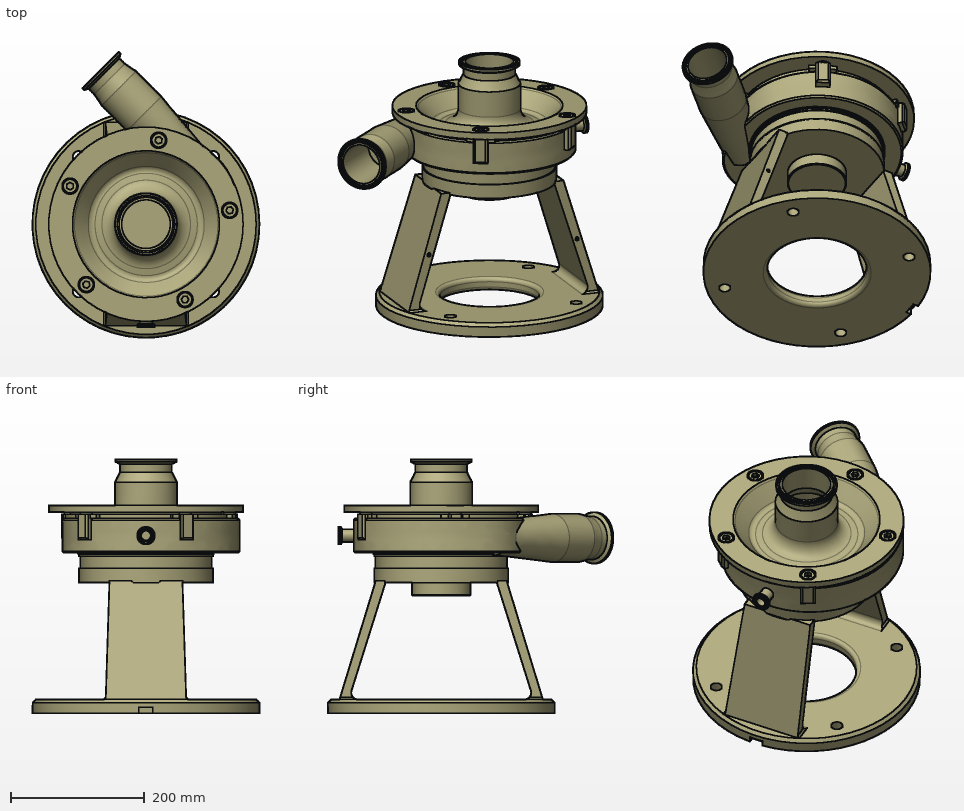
import cadquery as cq
import math


total_length = 428.0
total_height = 380.5

base_radius = 170.1
base_height = 21.0
base_chamfer = 5.0
base_bore_radius = 74.5
base_bore_fillet = 6.5
foot_hole_radius = 8.5
foot_hole_circle = 142.5
key_slot_width = 21.0
key_slot_height = 9.0
key_slot_depth = 8.5

leg_top = 199.0
leg_outer_top = 98.0
leg_outer_bottom = 152.5
leg_inner_top = 82.0
leg_inner_bottom = 138.2
leg_half_width_top = 54.8
leg_half_width_bottom = 60.5
leg_root_length = 13.5
leg_foot_flare = 3.0
leg_pin_radius = 2.5
leg_pin_depth = 6.5
leg_pin_height = 106.5
leg_pin_y = 118.5

support_radius = 100.5
support_neck_radius = 99.0
support_bottom = 196.0
support_step = 217.5
support_neck_top = 235.0
support_collar_radius = 102.0
support_collar_bottom = 238.5
hub_radius = 44.0
hub_bottom = 176.5
hub_chamfer = 1.3

volute_bottom = 240.5
volute_top = 292.0
volute_edge = 2.5
volute_start_angle = 95.0
volute_sweep = 305.0
volute_start_radius = 123.5
volute_growth = 22.3
volute_growth_power = 2.0
volute_spans = 12

cover_ring_radius = 120.5
cover_ring_top = 298.3
cover_core_radius = 113.5
plate_radius = 145.5
plate_bottom = 301.3
plate_top = 311.5

dish_rim_radius = 110.0
dish_rim_chamfer = 2.5
dish_cone_radius = 87.0
dish_cone_bottom = 286.0
dish_floor_radius = 76.5
dish_floor = 283.0
dish_fillet_radius = 66.5
dish_fillet_bottom = 284.5
dish_fillet_top = 307.2

bolt_count = 5
bolt_circle = 127.0
bolt_first_angle = 9.4
bolt_pocket_radius = 12.0
bolt_pocket_depth = 2.5
bolt_head_radius = 10.3
bolt_head_height = 2.0
bolt_socket_diameter = 11.0
bolt_socket_depth = 5.0
spacer_radius = 9.0
pad_radius = 21.5
pad_outer_radius = 129.5
finger_width = 21.5
finger_inner = 111.3
finger_outer = 137.0
finger_bottom = 260.0
finger_chamfer = 3.0

inlet_radius = 46.5
inlet_neck_radius = 39.0
inlet_flange_radius = 46.0
inlet_bore_radius = 36.5
inlet_bore_depth = 38.5
inlet_chamber_radius = 43.0
inlet_chamber_cone = 15.0
inlet_chamber_floor = 304.0
inlet_groove_radius = 40.2
inlet_neck_end = 19.3
inlet_cone_end = 34.2

outlet_offset = 115.0
outlet_height = 262.7
outlet_radius = 36.5
outlet_root_radius = 25.5
outlet_taper_length = 119.5
outlet_neck_radius = 32.5
outlet_flange_radius = 38.5
outlet_bore_radius = 30.0
outlet_groove_radius = 33.5
outlet_neck_end = 18.5
outlet_cone_end = 38.0

flange_thickness = 4.0
flange_taper = 3.5
groove_width = 2.5
groove_depth = 1.3

port_height = 266.0
port_tip = 154.0
port_root = 120.0
port_radius = 9.63
port_bore_radius = 7.3
port_bore_depth = 21.5
port_flange_radius = 13.3
port_groove_radius = 9.5
port_flange_thickness = 4.0
port_flange_taper = 2.0


def disc(radius, bottom, top):
    return cq.Workplane("XY").workplane(offset=bottom).circle(radius).extrude(top - bottom)


def turned(points):
    """Revolve an outline of (radius, height) points about the Z axis."""
    return cq.Workplane("XZ").polyline(points).close().revolve(360, (0, 0, 0), (0, 1, 0))


def flanged_pipe_end(face, radius, neck_radius, flange_radius, neck_end, cone_end, root):
    """Outline points of a pipe from its open face down to its root."""
    return [
        (0, face),
        (flange_radius, face),
        (flange_radius, face - flange_thickness),
        (neck_radius, face - flange_thickness - flange_taper),
        (neck_radius, face - neck_end),
        (radius, face - cone_end),
        (radius, root),
    ]


def gasket_groove(face, inner_radius):
    """Ring of material removed from a flange face."""
    floor = face - groove_depth
    return disc(inner_radius + groove_width, floor, face).cut(disc(inner_radius, floor, face))


def make_base():
    base = (
        disc(base_radius, 0, base_height)
        .faces(">Z")
        .chamfer(base_chamfer)
        .cut(disc(base_bore_radius, 0, base_height))
        .edges(cq.selectors.RadiusNthSelector(0))
        .fillet(base_bore_fillet)
    )
    foot_holes = (
        cq.Workplane("XY")
        .polarArray(foot_hole_circle, 45, 360, 4)
        .circle(foot_hole_radius)
        .extrude(base_height)
    )
    key_slot = cq.Workplane("XY").box(
        key_slot_width, 2 * key_slot_depth, key_slot_height, centered=(True, True, False)
    ).translate((0, -base_radius, 0))
    return base.cut(foot_holes).cut(key_slot)


def make_leg():
    """The leg on the -Y side: a sloping slab that narrows upward, with a flared root."""
    inner_lean = math.atan2(leg_inner_bottom - leg_inner_top, leg_top - base_height)
    root_top = base_height + leg_root_length * math.cos(inner_lean)
    root_top_y = leg_inner_bottom - leg_root_length * math.sin(inner_lean)
    foot_half_width = leg_half_width_bottom + leg_foot_flare
    slab = (
        cq.Workplane("YZ")
        .moveTo(-leg_outer_bottom, base_height)
        .lineTo(-leg_outer_top, leg_top)
        .lineTo(-leg_inner_top, leg_top)
        .lineTo(-root_top_y, root_top)
        .tangentArcPoint((leg_root_length - leg_inner_bottom, base_height), relative=False)
        .close()
        .extrude(foot_half_width, both=True)
    )
    taper = (
        cq.Workplane("XZ")
        .polyline([
            (-foot_half_width, base_height),
            (foot_half_width, base_height),
            (leg_half_width_bottom, base_height + leg_foot_flare),
            (leg_half_width_top, leg_top),
            (-leg_half_width_top, leg_top),
            (-leg_half_width_bottom, base_height + leg_foot_flare),
        ])
        .close()
        .extrude(base_radius)
    )
    mid_height = (leg_pin_height - base_height) / (leg_top - base_height)
    side = leg_half_width_bottom + mid_height * (leg_half_width_top - leg_half_width_bottom)
    pin_hole = (
        cq.Workplane("YZ", origin=(-side - leg_pin_depth, 0, 0))
        .center(-leg_pin_y, leg_pin_height)
        .circle(leg_pin_radius)
        .extrude(2 * leg_pin_depth)
    )
    return slab.intersect(taper).cut(pin_hole)


def make_support():
    hub = disc(hub_radius, hub_bottom, support_bottom).faces("<Z").chamfer(hub_chamfer)
    return (
        hub
        .union(disc(support_radius, support_bottom, support_step))
        .union(disc(support_neck_radius, support_step, support_neck_top))
        .union(disc(support_radius, support_neck_top, support_collar_bottom))
        .union(disc(support_collar_radius, support_collar_bottom, volute_bottom))
    )


def volute_point(t):
    """Point on the volute outline; t runs from 0 at the tongue to 1 at the outlet."""
    angle = math.radians(volute_start_angle + volute_sweep * t)
    radius = volute_start_radius + volute_growth * t ** volute_growth_power
    return (radius * math.cos(angle), radius * math.sin(angle))


def make_volute():
    closing_angle = math.radians(volute_start_angle + (volute_sweep - 360) / 2)
    closing_radius = volute_start_radius + volute_growth / 2
    closing_point = (
        closing_radius * math.cos(closing_angle),
        closing_radius * math.sin(closing_angle),
    )
    spiral = [volute_point(i / volute_spans) for i in range(volute_spans + 1)]
    return (
        cq.Workplane("XY", origin=(0, 0, volute_bottom))
        .spline(spiral + [closing_point], periodic=True)
        .close()
        .extrude(volute_top - volute_bottom)
        .faces(">Z or <Z")
        .chamfer(volute_edge)
    )


def make_cover():
    return (
        disc(cover_ring_radius, volute_top, cover_ring_top)
        .union(disc(cover_core_radius, cover_ring_top, plate_bottom))
        .union(disc(plate_radius, plate_bottom, plate_top))
    )


def make_dish():
    """Recess around the inlet: a cone, a rounded foot, a floor and a fillet up to the pipe."""
    return (
        cq.Workplane("XZ")
        .moveTo(inlet_radius, plate_top)
        .lineTo(dish_rim_radius, plate_top)
        .lineTo(dish_rim_radius - dish_rim_chamfer, plate_top - dish_rim_chamfer)
        .lineTo(dish_cone_radius, dish_cone_bottom)
        .tangentArcPoint((dish_floor_radius, dish_floor), relative=False)
        .lineTo(dish_fillet_radius, dish_fillet_bottom)
        .tangentArcPoint((inlet_radius, dish_fillet_top), relative=False)
        .close()
        .revolve(360, (0, 0, 0), (0, 1, 0))
    )


def at_bolts(feature):
    """Copies of a feature built at angle zero, one at each bolt."""
    copies = cq.Workplane("XY")
    for i in range(bolt_count):
        angle = bolt_first_angle + i * 360 / bolt_count
        copies = copies.add(feature.rotate((0, 0, 0), (0, 0, 1), angle))
    return copies.combine()


def make_clamp():
    finger = (
        cq.Workplane("XY")
        .box(
            finger_outer - finger_inner,
            finger_width,
            cover_ring_top - finger_bottom,
            centered=(False, True, False),
        )
        .translate((finger_inner, 0, finger_bottom))
        .edges("(>X and |Z) or (>X and <Z)")
        .chamfer(finger_chamfer)
    )
    pad = (
        disc(pad_radius, volute_top, cover_ring_top)
        .translate((bolt_circle, 0, 0))
        .intersect(disc(pad_outer_radius, volute_top, cover_ring_top))
    )
    spacer = disc(spacer_radius, cover_ring_top, plate_bottom).translate((bolt_circle, 0, 0))
    return finger.union(pad).union(spacer)


def make_bolt_pocket():
    """Material removed at a bolt: a ring around its head and the hexagon socket."""
    floor = plate_top - bolt_pocket_depth
    head_top = floor + bolt_head_height
    socket = (
        cq.Workplane("XY", origin=(0, 0, head_top - bolt_socket_depth))
        .polygon(6, bolt_socket_diameter)
        .extrude(bolt_socket_depth)
    )
    return (
        disc(bolt_pocket_radius, floor, plate_top)
        .cut(disc(bolt_head_radius, floor, head_top))
        .union(socket)
        .translate((bolt_circle, 0, 0))
    )


def make_inlet():
    """Inlet pipe and its bore, which widens into a chamber below the neck."""
    outline = flanged_pipe_end(
        total_height, inlet_radius, inlet_neck_radius, inlet_flange_radius,
        inlet_neck_end, inlet_cone_end, dish_floor,
    )
    bore_end = total_height - inlet_bore_depth
    bore = turned([
        (0, total_height),
        (inlet_bore_radius, total_height),
        (inlet_bore_radius, bore_end),
        (inlet_chamber_radius, bore_end - inlet_chamber_cone),
        (inlet_chamber_radius, inlet_chamber_floor),
        (0, inlet_chamber_floor),
    ])
    pipe = turned(outline + [(0, dish_floor)])
    return pipe.cut(gasket_groove(total_height, inlet_groove_radius)), bore


def make_outlet():
    """Outlet pipe and its bore, running at 45 degrees toward -X and +Y."""
    diagonal = math.sqrt(2)
    tip_y = total_length - base_radius
    face = tip_y * diagonal - outlet_offset - outlet_flange_radius
    outline = flanged_pipe_end(
        face, outlet_radius, outlet_neck_radius, outlet_flange_radius,
        outlet_neck_end, outlet_cone_end, outlet_taper_length,
    )
    pipe = turned(outline + [(outlet_root_radius, 0), (0, 0)])
    pipe = pipe.cut(gasket_groove(face, outlet_groove_radius))
    bore = disc(outlet_bore_radius, outlet_taper_length, face)
    axis = cq.Plane(
        origin=(outlet_offset / diagonal, outlet_offset / diagonal, outlet_height),
        xDir=(0, 0, 1),
        normal=(-1, 1, 0),
    )
    place = cq.Location(axis)
    return cq.Workplane(pipe.val().moved(place)), cq.Workplane(bore.val().moved(place))


def make_port():
    """Drain port on the -Y side."""
    flange_root = port_tip - port_flange_thickness
    port = turned([
        (0, port_root),
        (port_radius, port_root),
        (port_radius, flange_root - port_flange_taper),
        (port_flange_radius, flange_root),
        (port_flange_radius, port_tip),
        (0, port_tip),
    ])
    bore = disc(port_bore_radius, port_tip - port_bore_depth, port_tip)
    port = port.cut(bore).cut(gasket_groove(port_tip, port_groove_radius))
    return port.rotate((0, 0, 0), (1, 0, 0), 90).translate((0, 0, port_height))


front_leg = make_leg()
outlet, outlet_bore = make_outlet()
inlet, inlet_bore = make_inlet()

casing = make_volute().union(make_cover()).union(at_bolts(make_clamp()))
casing = casing.cut(make_dish()).cut(at_bolts(make_bolt_pocket()))

result = (
    make_base()
    .union(front_leg)
    .union(front_leg.mirror("XZ"))
    .union(make_support())
    .union(casing)
    .union(inlet)
    .union(outlet)
    .union(make_port())
    .cut(inlet_bore)
    .cut(outlet_bore)
)